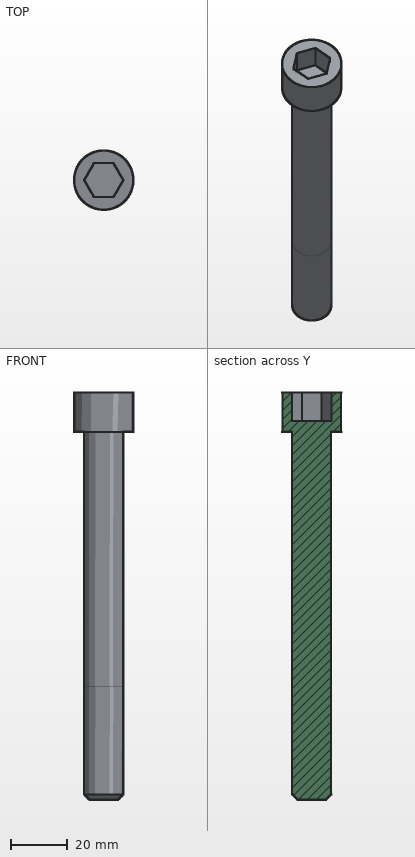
import cadquery as cq
import math

total_length = 144.0
head_diameter = 21.0
shank_diameter = 14.0
head_height = shank_diameter
thread_length = 40.0
tip_diameter = 10.0
tip_height = 2.0
socket_across_flats = 12.0
socket_depth = 10.1

shank_length = total_length - head_height
plain_length = shank_length - thread_length


def make_head():
    return cq.Workplane("XY").workplane(offset=shank_length).circle(head_diameter / 2).extrude(head_height)


def make_plain_shank():
    return cq.Workplane("XY").workplane(offset=thread_length).circle(shank_diameter / 2).extrude(plain_length)


def make_threaded_end():
    """Unthreaded envelope of the thread, with a conical tip."""
    radius = shank_diameter / 2
    return (
        cq.Workplane("XZ")
        .lineTo(tip_diameter / 2, 0)
        .lineTo(radius, tip_height)
        .lineTo(radius, thread_length)
        .lineTo(0, thread_length)
        .close()
        .revolve(360, (0, 0, 0), (0, 1, 0))
    )


def make_socket():
    """Hexagonal key socket with two corners on the X axis."""
    across_corners = socket_across_flats / math.cos(math.pi / 6)
    return (
        cq.Workplane("XY")
        .workplane(offset=total_length - socket_depth)
        .polygon(6, across_corners)
        .extrude(socket_depth)
    )


screw = make_threaded_end().union(make_plain_shank(), clean=False).union(make_head(), clean=False)
result = screw.cut(make_socket(), clean=False)